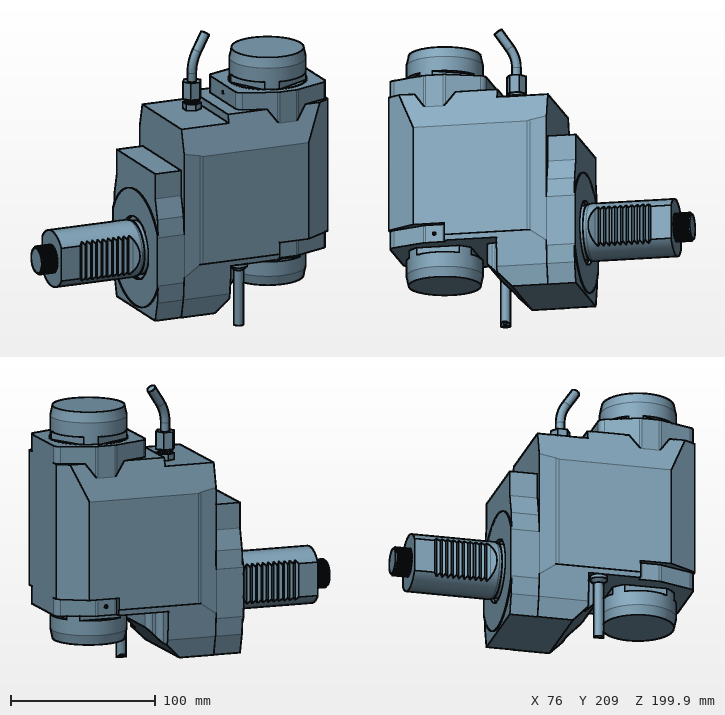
import cadquery as cq
import math


SHANK_DIA = 40.0
SHANK_TIP = -63.7
COLLAR_STEP = -2.0
COLLAR_CHAMFER_END = -4.4
COLLAR_FACE_DIA = 38.7
NECK_DIA = 37.6
RECESS_DIA = 44.3
RECESS_DEPTH = 1.7
FLAT_HALF = 16.0
RAMP_END = -9.8
GROOVE_PITCH = 4.0
GROOVE_COUNT = 10
GROOVE_DEPTH = 1.9
SPLINE_TIP_DIA = 19.9
SPLINE_ROOT_DIA = 17.5
SPLINE_TEETH = 24
TOOTH_TIP_SHARE = 0.4
TOOTH_ROOT_SHARE = 0.7
SPLINE_END = -74.2
PILOT_END = -75.5

FLANGE_DEPTH = 19.6
FLANGE_TOP = 61.9
FLANGE_BOTTOM = -44.0
FLANGE_HALF = 32.2
FLANGE_SIDE_HALF = 37.2
FLANGE_SHOULDER = (36.0, 30.0)
FLANGE_SIDE_TOP = 17.3
FLANGE_LEDGE = (FLANGE_HALF, 44.0)
RAISED_DISC_DIA = 83.4
RAISED_DISC_HEIGHT = 0.6

BODY_HALF = 38.0
BODY_BACK = 133.5
BODY_TOP = 97.5
BODY_BOTTOM = -9.8
TOP_HALF = 31.1
PAD_EDGE_HALF = 37.8
FOOT_HALF = 32.5
BACK_HALF = 26.1
SIDE_TOP = 72.1
SIDE_BOTTOM = -5.9
SIDE_BACK = 113.7
TAPER_START = 33.2
TAPER_BREAK = 31.1
STEP_Y = 55.5
STEP_Z = 91.8
FOOT_BACK = 55.0
RIB_BACK = 65.5
RIB_HALF = 23.0
RIB_RADIUS = 4.2
FOOT_CHAMFER_START = 45.0

PLATE_HALF = 33.9
PLATE_EDGE_HALF = 24.0
PLATE_SIDE_HALF = 7.1
PLATE_RADIUS = 5.0
PLATE_HEIGHT = 12.1
PLATE_SKIRT = 12.7
SPINDLE_Y = BODY_BACK - PLATE_HALF
LOWER_POCKET_TOP = 2.5
LOWER_POCKET_FRONT = 91.8
NUT_DIA = 53.0
NUT_FACE_DIA = 50.0
NUT_HEIGHT = 22.4
NUT_TAPER = 7.1
NUT_FLAT_HALF = 22.0
NUT_FLAT_HEIGHT = 5.0
NUT_TWIST = 27.5
PLATE_SEAT_DIA = 54.3
PLATE_SEAT_DEPTH = 0.6
PIN_HOLE_DIA = 2.0
PIN_HOLE_DEPTH = 2.0

FITTING_X = -9.8
FITTING_Y = 46.8
BASE_HEX_FLATS = 11.0
BASE_HEX_TOP = 96.1
FITTING_NECK_DIA = 8.2
FITTING_COLLAR_DIA = 9.8
FITTING_COLLAR_BOTTOM = 97.5
NUT_HEX_FLATS = 11.7
NUT_HEX_BOTTOM = 99.3
NUT_HEX_TOP = 111.6
NOZZLE_DIA = 6.3
NOZZLE_BEND_START = 117.9
NOZZLE_BEND_RADIUS = 23.8
NOZZLE_BEND_ANGLE = 36.0
NOZZLE_TIP_LENGTH = 14.0
NOZZLE_HEADING = 110.0

PIPE_X = 31.4
PIPE_Y = 63.5
PIPE_DIA = 7.0
PIPE_END = -54.8
PIPE_CHAMFER = 2.7
PIPE_HOLE_DIA = 2.05
PIPE_HOLE_DEPTH = 3.1
PIPE_COLLAR_DIA = 12.1
PIPE_COLLAR_END = -15.0
PIPE_COLLAR_CHAMFER = 2.7


def mirrored(half_points):
    """Closed outline from the points of its right half, listed bottom to top."""
    return half_points + [(-x, y) for x, y in reversed(half_points)]


def along_y(outline, start, end):
    """Prism of an (x, z) outline between two y positions."""
    return cq.Workplane("XZ", origin=(0, start, 0)).polyline(outline).close().extrude(start - end)


def rod_y(diameter, start, end):
    return cq.Workplane("XZ", origin=(0, start, 0)).circle(diameter / 2).extrude(start - end)


def rod_z(x, y, diameter, start, end):
    return cq.Workplane("XY", origin=(x, y, start)).circle(diameter / 2).extrude(end - start)


def make_flange():
    shoulder_x, shoulder_z = FLANGE_SHOULDER
    outline = mirrored([
        (FLANGE_HALF, FLANGE_BOTTOM),
        (shoulder_x, -shoulder_z),
        (FLANGE_SIDE_HALF, -FLANGE_SIDE_TOP),
        (FLANGE_SIDE_HALF, FLANGE_SIDE_TOP),
        FLANGE_SHOULDER,
        FLANGE_LEDGE,
        (FLANGE_HALF, FLANGE_TOP),
    ])
    flange = along_y(outline, 0, FLANGE_DEPTH)
    disc = rod_y(RAISED_DISC_DIA, -RAISED_DISC_HEIGHT, 0)
    disc = disc.intersect(along_y(outline, -RAISED_DISC_HEIGHT, 0))
    recess = rod_y(RECESS_DIA, -RAISED_DISC_HEIGHT, RECESS_DEPTH)
    return flange.union(disc).cut(recess)


def make_foot_relief():
    """Clearance beside the central rib at the back of the housing foot, on the +X side."""
    outside = BODY_HALF + 2
    beyond = RIB_BACK + 2
    return (
        cq.Workplane("XY", origin=(0, 0, FLANGE_BOTTOM))
        .moveTo(outside, FOOT_BACK)
        .lineTo(RIB_HALF + RIB_RADIUS, FOOT_BACK)
        .radiusArc((RIB_HALF, FOOT_BACK + RIB_RADIUS), RIB_RADIUS)
        .lineTo(RIB_HALF, RIB_BACK - RIB_RADIUS)
        .radiusArc((RIB_HALF - RIB_RADIUS, RIB_BACK), -RIB_RADIUS)
        .lineTo(RIB_HALF - RIB_RADIUS, beyond)
        .lineTo(outside, beyond)
        .close()
        .extrude(BODY_BOTTOM - FLANGE_BOTTOM)
    )


def make_housing_block():
    """Full-length block: sloped shoulders on top, flat side pads, foot sides leaning inward."""
    shoulder_x, shoulder_z = FLANGE_SHOULDER
    cross_section = mirrored([
        (FOOT_HALF, FLANGE_BOTTOM),
        (shoulder_x, -shoulder_z),
        (PAD_EDGE_HALF, SIDE_BOTTOM),
        (BODY_HALF, SIDE_BOTTOM),
        (BODY_HALF, SIDE_TOP),
        (TOP_HALF, BODY_TOP),
    ])
    return along_y(cross_section, FLANGE_DEPTH, BODY_BACK)


def make_housing():
    plan = mirrored([
        (FLANGE_SIDE_HALF, FLANGE_DEPTH),
        (PAD_EDGE_HALF, TAPER_BREAK),
        (BODY_HALF, TAPER_START),
        (BODY_HALF, SIDE_BACK),
        (BACK_HALF, BODY_BACK),
    ])
    foot_chamfer_end = FLANGE_BOTTOM + RIB_BACK - FOOT_CHAMFER_START
    side = [
        (FLANGE_DEPTH, FLANGE_BOTTOM),
        (FOOT_CHAMFER_START, FLANGE_BOTTOM),
        (RIB_BACK, foot_chamfer_end),
        (RIB_BACK, BODY_BOTTOM),
        (BODY_BACK, BODY_BOTTOM),
        (BODY_BACK, BODY_TOP),
        (STEP_Y, BODY_TOP),
        (STEP_Y, STEP_Z),
        (FLANGE_DEPTH, STEP_Z),
    ]
    housing = make_housing_block()
    plan_prism = cq.Workplane("XY", origin=(0, 0, FLANGE_BOTTOM)).polyline(plan).close()
    housing = housing.intersect(plan_prism.extrude(BODY_TOP - FLANGE_BOTTOM))
    housing = housing.intersect(cq.Workplane("YZ").polyline(side).close().extrude(BODY_HALF, both=True))
    relief = make_foot_relief()
    housing = housing.cut(relief).cut(relief.mirror("YZ"))
    pocket = cq.Workplane("XY").box(
        2 * BODY_HALF,
        BODY_BACK - LOWER_POCKET_FRONT,
        LOWER_POCKET_TOP - BODY_BOTTOM,
        centered=(True, False, False),
    )
    return housing.cut(pocket.translate((0, LOWER_POCKET_FRONT, BODY_BOTTOM)))


def make_plate(bottom, top):
    """Octagonal spindle cover plate with rounded corners."""
    outline = mirrored([
        (PLATE_EDGE_HALF, -PLATE_HALF),
        (PLATE_HALF, -PLATE_SIDE_HALF),
        (PLATE_HALF, PLATE_SIDE_HALF),
        (PLATE_EDGE_HALF, PLATE_HALF),
    ])
    plate = cq.Workplane("XY", origin=(0, SPINDLE_Y, bottom)).polyline(outline).close()
    return plate.extrude(top - bottom).edges("|Z").fillet(PLATE_RADIUS)


def make_nut(twist):
    """Tapered spindle nut with four flats at its root, standing on z = 0 along +Z."""
    root = -PLATE_SEAT_DEPTH
    nut = (
        cq.Workplane("XZ")
        .moveTo(0, root)
        .lineTo(NUT_DIA / 2, root)
        .lineTo(NUT_DIA / 2, NUT_HEIGHT - NUT_TAPER)
        .lineTo(NUT_FACE_DIA / 2, NUT_HEIGHT)
        .lineTo(0, NUT_HEIGHT)
        .close()
        .revolve(360, (0, 0, 0), (0, 1, 0))
    )
    band_height = NUT_FLAT_HEIGHT - root
    band = cq.Workplane("XY", origin=(0, 0, root)).circle(NUT_DIA).extrude(band_height)
    square = cq.Workplane("XY", origin=(0, 0, root)).rect(2 * NUT_FLAT_HALF, 2 * NUT_FLAT_HALF)
    nut = nut.cut(band.cut(square.extrude(band_height)))
    return nut.rotate((0, 0, 0), (0, 0, 1), twist)


def make_upper_spindle():
    top = BODY_TOP + PLATE_HEIGHT
    plate = make_plate(BODY_TOP - PLATE_SKIRT, top)
    plate = plate.cut(rod_z(0, SPINDLE_Y, PLATE_SEAT_DIA, top - PLATE_SEAT_DEPTH, top))
    front = SPINDLE_Y - PLATE_HALF
    pin_hole = rod_y(PIN_HOLE_DIA, front, front + PIN_HOLE_DEPTH)
    plate = plate.cut(pin_hole.translate((0, 0, BODY_TOP + PLATE_HEIGHT / 2)))
    return plate.union(make_nut(NUT_TWIST).translate((0, SPINDLE_Y, top)))


def make_lower_spindle():
    plate = make_plate(BODY_BOTTOM, LOWER_POCKET_TOP)
    pin_hole_z = (BODY_BOTTOM + LOWER_POCKET_TOP) / 2
    pin_hole = cq.Workplane("YZ", origin=(-PLATE_HALF, SPINDLE_Y, pin_hole_z))
    plate = plate.cut(pin_hole.circle(PIN_HOLE_DIA / 2).extrude(PIN_HOLE_DEPTH))
    nut = make_nut(0).mirror("XY").translate((0, SPINDLE_Y, BODY_BOTTOM))
    return plate.union(nut)


def make_flat_cut():
    """Serrated flat on the +X side of the shank: a 45 degree ramp, then V grooves."""
    outside = SHANK_DIA / 2 + 2
    outline = cq.Workplane("XY", origin=(0, 0, -SHANK_DIA / 2)).moveTo(outside, SHANK_TIP)
    outline = outline.lineTo(FLAT_HALF, SHANK_TIP)
    for index in reversed(range(GROOVE_COUNT)):
        groove_start = RAMP_END - index * GROOVE_PITCH
        outline = outline.lineTo(FLAT_HALF, groove_start - GROOVE_PITCH)
        outline = outline.lineTo(FLAT_HALF - GROOVE_DEPTH, groove_start - GROOVE_PITCH / 2)
    outline = outline.lineTo(FLAT_HALF, RAMP_END)
    outline = outline.lineTo(outside, RAMP_END + outside - FLAT_HALF)
    return outline.close().extrude(SHANK_DIA)


def make_spline():
    """Drive spline with trapezoidal teeth and a plain pilot at its end."""
    tooth_angle = 2 * math.pi / SPLINE_TEETH
    tip = SPLINE_TIP_DIA / 2
    root = SPLINE_ROOT_DIA / 2
    corners = [
        (root, -TOOTH_ROOT_SHARE / 2),
        (tip, -TOOTH_TIP_SHARE / 2),
        (tip, TOOTH_TIP_SHARE / 2),
        (root, TOOTH_ROOT_SHARE / 2),
    ]
    outline = []
    for tooth in range(SPLINE_TEETH):
        for radius, offset in corners:
            angle = (tooth + offset) * tooth_angle
            outline.append((radius * math.cos(angle), radius * math.sin(angle)))
    teeth = along_y(outline, SPLINE_END, SHANK_TIP)
    return teeth.union(rod_y(SPLINE_ROOT_DIA, PILOT_END, SHANK_TIP))


def make_shank():
    shank = rod_y(SHANK_DIA, SHANK_TIP, COLLAR_CHAMFER_END)
    collar = cq.Workplane("XZ", origin=(0, COLLAR_STEP, 0)).circle(COLLAR_FACE_DIA / 2)
    collar = collar.workplane(offset=COLLAR_STEP - COLLAR_CHAMFER_END).circle(SHANK_DIA / 2).loft()
    shank = shank.union(collar)
    flat_cut = make_flat_cut()
    shank = shank.cut(flat_cut).cut(flat_cut.mirror("YZ"))
    shank = shank.union(rod_y(NECK_DIA, COLLAR_STEP, RECESS_DEPTH))
    return shank.union(make_spline())


def hexagon_z(across_flats, turn, start, end):
    corner_dia = across_flats / math.cos(math.pi / 6)
    prism = cq.Workplane("XY").polygon(6, corner_dia).extrude(end - start)
    return prism.rotate((0, 0, 0), (0, 0, 1), turn).translate((FITTING_X, FITTING_Y, start))


def make_nozzle():
    """Nozzle tube: straight out of the fitting, one bend, then a straight tip."""
    angle = math.radians(NOZZLE_BEND_ANGLE)
    radius = NOZZLE_BEND_RADIUS

    def on_bend(turn):
        return (radius * (1 - math.cos(turn)), NOZZLE_BEND_START + radius * math.sin(turn))

    bend_x, bend_z = on_bend(angle)
    tip = (bend_x + NOZZLE_TIP_LENGTH * math.sin(angle), bend_z + NOZZLE_TIP_LENGTH * math.cos(angle))
    path = (
        cq.Workplane("XZ")
        .moveTo(0, NUT_HEX_TOP)
        .lineTo(0, NOZZLE_BEND_START)
        .threePointArc(on_bend(angle / 2), (bend_x, bend_z))
        .lineTo(*tip)
    )
    tube = cq.Workplane("XY", origin=(0, 0, NUT_HEX_TOP)).circle(NOZZLE_DIA / 2).sweep(path)
    return tube.rotate((0, 0, 0), (0, 0, 1), NOZZLE_HEADING).translate((FITTING_X, FITTING_Y, 0))


def make_fitting():
    fitting = hexagon_z(BASE_HEX_FLATS, 0, STEP_Z, BASE_HEX_TOP)
    fitting = fitting.union(
        rod_z(FITTING_X, FITTING_Y, FITTING_NECK_DIA, BASE_HEX_TOP, FITTING_COLLAR_BOTTOM)
    )
    fitting = fitting.union(
        rod_z(FITTING_X, FITTING_Y, FITTING_COLLAR_DIA, FITTING_COLLAR_BOTTOM, NUT_HEX_BOTTOM)
    )
    fitting = fitting.union(hexagon_z(NUT_HEX_FLATS, 30, NUT_HEX_BOTTOM, NUT_HEX_TOP))
    return fitting.union(make_nozzle())


def make_pipe():
    """Coolant pipe with a conical collar and an angled outlet facing -X and down."""
    pipe = rod_z(PIPE_X, PIPE_Y, PIPE_DIA, PIPE_END, BODY_BOTTOM)
    left = PIPE_X - PIPE_DIA / 2
    corner = [
        (left, PIPE_END),
        (left + PIPE_CHAMFER, PIPE_END),
        (left, PIPE_END + PIPE_CHAMFER),
    ]
    pipe = pipe.cut(along_y(corner, PIPE_Y - PIPE_DIA, PIPE_Y + PIPE_DIA))
    outlet_center = (left + PIPE_CHAMFER / 2, PIPE_Y, PIPE_END + PIPE_CHAMFER / 2)
    outlet = cq.Workplane(cq.Plane(origin=outlet_center, xDir=(0, 1, 0), normal=(1, 0, 1)))
    pipe = pipe.cut(outlet.circle(PIPE_HOLE_DIA / 2).extrude(PIPE_HOLE_DEPTH))
    collar = rod_z(PIPE_X, PIPE_Y, PIPE_COLLAR_DIA, PIPE_COLLAR_END, BODY_BOTTOM)
    return pipe.union(collar.faces("<Z").chamfer(PIPE_COLLAR_CHAMFER))


result = (
    make_housing()
    .union(make_flange())
    .union(make_upper_spindle())
    .union(make_lower_spindle())
    .union(make_shank())
    .union(make_fitting())
    .union(make_pipe())
)